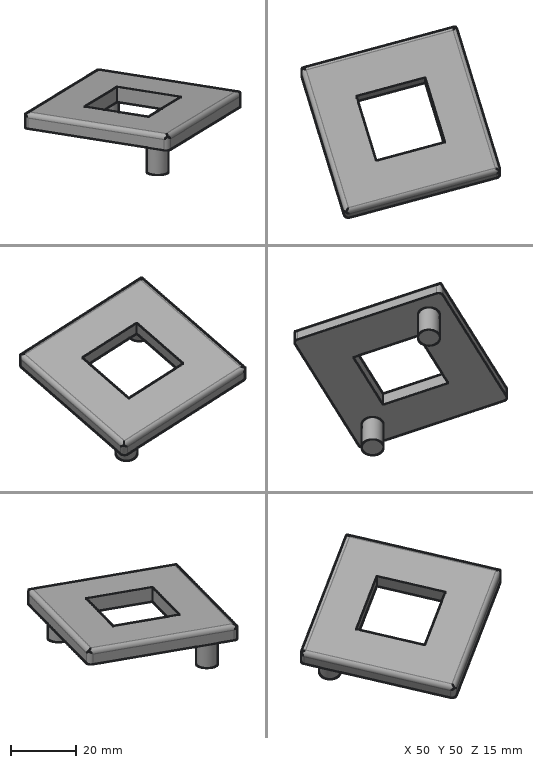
import cadquery as cq

plate_side = 50.0
plate_thickness = 5.0
edge_radius = 1.5

window_side = 22.0

post_diameter = 6.8
post_length = 10.0
post_edge_distance = 7.5
post_offset = plate_side / 2 - post_edge_distance


def rounded_block(edge_selector):
    """Full plate block, underside at Z = 0, with only the selected edges rounded."""
    block = cq.Workplane("XY").rect(plate_side, plate_side).extrude(plate_thickness)
    return block.edges(edge_selector).fillet(edge_radius)


def make_plate():
    """Plate whose rounded edges meet in mitred corners, with the window cut through."""
    plate = rounded_block("|Z")
    for rim_edges in ("|X and >Z", "|Y and >Z"):
        plate = plate.intersect(rounded_block(rim_edges))
    window = cq.Workplane("XY").rect(window_side, window_side).extrude(plate_thickness)
    return plate.cut(window)


def make_posts():
    """Two posts on one diagonal, hanging from the underside of the plate."""
    centers = [(-post_offset, post_offset), (post_offset, -post_offset)]
    return cq.Workplane("XY").pushPoints(centers).circle(post_diameter / 2).extrude(-post_length)


result = make_plate().union(make_posts())